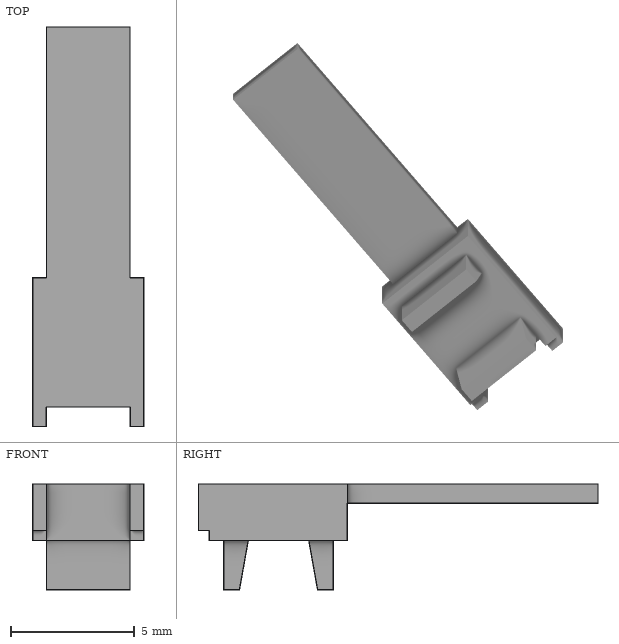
import cadquery as cq

total_length = 16.2
body_width = 4.5
total_height = 4.3

body_length = 6.05
body_height = 2.3
tongue_width = 3.39
tongue_thickness = 0.8

recess_depth = 0.8
step_length = 0.44
step_height = 0.4

leg_root = 1.0
leg_tip = 0.65
front_leg_offset = 1.02
rear_leg_inset = 0.57
rear_leg_offset = body_length - rear_leg_inset


def extrude_profile(points, width):
    """Extrude a closed (Y, Z) outline along X, centred on X = 0."""
    return cq.Workplane("YZ").polyline(points).close().extrude(width / 2, both=True)


def make_body():
    outline = [
        (0, 0),
        (body_length, 0),
        (body_length, -body_height),
        (step_length, -body_height),
        (step_length, -body_height + step_height),
        (0, -body_height + step_height),
    ]
    recess = cq.Workplane("XY").box(
        tongue_width, 2 * recess_depth, 2 * body_height
    )
    return extrude_profile(outline, body_width).cut(recess)


def make_tongue():
    outline = [
        (recess_depth, 0),
        (total_length, 0),
        (total_length, -tongue_thickness),
        (recess_depth, -tongue_thickness),
    ]
    return extrude_profile(outline, tongue_width)


def make_leg(outer_y, inward):
    """Make a leg whose taper faces the +Y (inward = 1) or -Y (inward = -1) side."""
    outline = [
        (outer_y, -body_height),
        (outer_y + inward * leg_root, -body_height),
        (outer_y + inward * leg_tip, -total_height),
        (outer_y, -total_height),
    ]
    return extrude_profile(outline, tongue_width)


result = make_body().union(make_tongue())
for outer_y, inward in [(front_leg_offset, 1), (rear_leg_offset, -1)]:
    result = result.union(make_leg(outer_y, inward))